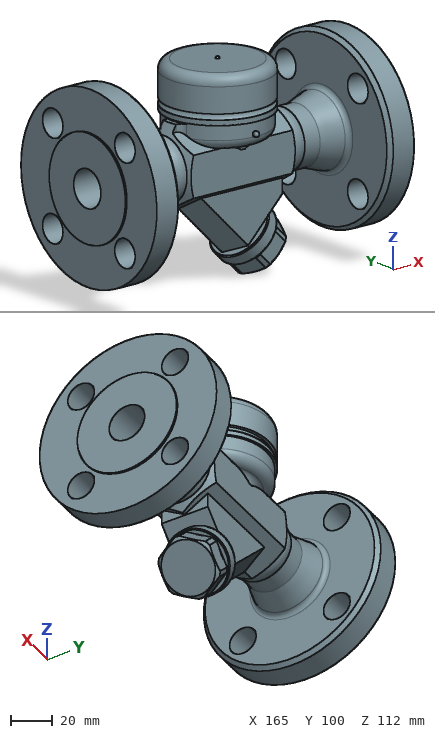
import cadquery as cq
import math

overall_length = 165.0

flange_diameter = 100.0
flange_back_x = 66.0
flange_edge_chamfer = 2.2
raised_face_diameter = 56.0
raised_face_height = 1.0
bore_diameter = 20.0
bore_depth = 20.0
bolt_hole_diameter = 15.0
bolt_circle_diameter = 75.0
bolt_count = 4

pipe_diameter = 32.0
pipe_inner_x = 41.5
pipe_outer_x = 51.0
hub_diameter = 40.0
hub_fillet = 2.6
collar_diameter = 34.0
collar_crown_diameter = 34.5

hex_across_flats = 37.5
hex_end_x = 34.0
hex_end_angle = 30.0

cup_diameter = 55.2
cup_bottom_z = 10.7
cup_fillet = 5.4
cup_root_radius = 18.8
cup_root_fillet = 3.2
rim_diameter = 57.5
rim_bottom_z = 23.8
rim_top_z = 26.6
neck_base_diameter = 57.0
neck_top_diameter = 54.4
pin_diameter = 3.0
pin_z = 17.4
pin_tip_y = -30.0
lug_width = 9.4
lug_top_z = 22.8
lug_fillet = 4.0

cap_diameter = 57.5
cap_bottom_z = 29.7
cap_top_z = 49.0
cap_fillet = 5.5
nib_radius = flange_diameter / 2 - cap_top_z

arm_angle = 45.0
arm_axis_offset = 17.7
arm_across_flats = 26.2
arm_start = -6.0
arm_end = 36.7
arm_side_x = 29.8
plug_collar_diameter = 34.0
plug_collar_end = 44.4
plug_collar_chamfer = 0.6
plug_groove_diameter = 28.0
plug_hex_start = 45.2
plug_hex_across_flats = 29.0
plug_hex_diameter = 32.0
plug_tip_diameter = 28.0
lowest_z = -62.04

half_length = overall_length / 2
flange_front_x = half_length - raised_face_height
cos30 = math.cos(math.radians(30))
hex_corner_radius = hex_across_flats / 2 / cos30
fillet_inset = 1 - math.sqrt(0.5)
trim_slope = math.tan(math.radians(hex_end_angle))
arm_corner_radius = arm_across_flats / 2 / cos30
plug_chamfer_start = -lowest_z * math.sqrt(2) - arm_axis_offset - plug_hex_diameter / 2
plug_end = plug_chamfer_start + (plug_hex_diameter - plug_tip_diameter) / 2 * trim_slope

arm_sin = math.sin(math.radians(arm_angle))
arm_cos = math.cos(math.radians(arm_angle))
arm_plane = cq.Plane(
    origin=(-arm_axis_offset * arm_sin, 0, -arm_axis_offset * arm_cos),
    xDir=(arm_sin, 0, arm_cos),
    normal=(arm_cos, 0, -arm_sin),
)


def make_pipe_end():
    """Flange, hub, pipe and collar on the +X side, with a blind bore and bolt holes."""
    flange_radius = flange_diameter / 2
    hub_radius = hub_diameter / 2
    profile = (
        cq.Workplane("XY")
        .moveTo(0, 0)
        .lineTo(0, collar_diameter / 2)
        .lineTo(hex_end_x, collar_diameter / 2)
        .threePointArc(
            ((hex_end_x + pipe_inner_x) / 2, collar_crown_diameter / 2),
            (pipe_inner_x, pipe_diameter / 2),
        )
        .lineTo(pipe_outer_x, pipe_diameter / 2)
        .lineTo(flange_back_x - hub_fillet, hub_radius)
        .threePointArc(
            (flange_back_x - fillet_inset * hub_fillet, hub_radius + fillet_inset * hub_fillet),
            (flange_back_x, hub_radius + hub_fillet),
        )
        .lineTo(flange_back_x, flange_radius - flange_edge_chamfer)
        .lineTo(flange_back_x + flange_edge_chamfer, flange_radius)
        .lineTo(flange_front_x, flange_radius)
        .lineTo(flange_front_x, raised_face_diameter / 2)
        .lineTo(half_length, raised_face_diameter / 2)
        .lineTo(half_length, 0)
        .close()
    )
    pipe_end = profile.revolve(360, (0, 0, 0), (1, 0, 0))
    bore = cq.Workplane("YZ", origin=(half_length, 0, 0)).circle(bore_diameter / 2).extrude(-bore_depth)
    bolt_holes = (
        cq.Workplane("YZ", origin=(flange_back_x, 0, 0))
        .polarArray(bolt_circle_diameter / 2, 180 / bolt_count, 360, bolt_count)
        .circle(bolt_hole_diameter / 2)
        .extrude(half_length - flange_back_x)
    )
    return pipe_end.cut(bore).cut(bolt_holes)


def make_lug():
    """Locking lug standing up from the pipe axis, its sides rounded out into the cup wall."""
    half_width = lug_width / 2
    cup_radius = cup_diameter / 2
    fillet_y = half_width + lug_fillet
    fillet_x = -math.sqrt((cup_radius + lug_fillet) ** 2 - fillet_y ** 2)
    touch_ratio = cup_radius / (cup_radius + lug_fillet)
    touch_x = fillet_x * touch_ratio
    touch_y = fillet_y * touch_ratio
    return (
        cq.Workplane("XY")
        .moveTo(-hex_end_x, half_width)
        .lineTo(fillet_x, half_width)
        .tangentArcPoint((touch_x, touch_y), relative=False)
        .lineTo(0, 0)
        .lineTo(touch_x, -touch_y)
        .radiusArc((fillet_x, -half_width), -lug_fillet)
        .lineTo(-hex_end_x, -half_width)
        .close()
        .extrude(lug_top_z)
    )


def make_hex_section():
    """Hexagon along X with a locking lug on its -X end, both trimmed by end cones."""
    hexagon = (
        cq.Workplane("YZ", origin=(-hex_end_x, 0, 0))
        .polygon(6, 2 * hex_corner_radius)
        .extrude(2 * hex_end_x)
        .rotate((0, 0, 0), (1, 0, 0), 90)
    )
    lug = make_lug()
    trim_radius = math.hypot(lug_top_z, hex_corner_radius)
    trim_inset = (trim_radius - collar_diameter / 2) * trim_slope
    trim = (
        cq.Workplane("XY")
        .polyline([
            (-hex_end_x, 0),
            (-hex_end_x, collar_diameter / 2),
            (-hex_end_x + trim_inset, trim_radius),
            (hex_end_x - trim_inset, trim_radius),
            (hex_end_x, collar_diameter / 2),
            (hex_end_x, 0),
        ])
        .close()
        .revolve(360, (0, 0, 0), (1, 0, 0))
    )
    return hexagon.union(lug).intersect(trim)


def make_cup():
    """Round cup on a short flared root, with a rim, a filleted neck and a locating pin."""
    cup_radius = cup_diameter / 2
    neck_radius = neck_top_diameter / 2
    neck_height = cap_bottom_z - rim_top_z
    neck_flare = (neck_base_diameter - neck_top_diameter) / 2
    neck_arc_radius = (neck_height ** 2 + neck_flare ** 2) / (2 * neck_flare)
    corner = fillet_inset * cup_fillet
    root_corner = fillet_inset * cup_root_fillet
    root_bottom_z = cup_bottom_z - cup_root_fillet
    profile = (
        cq.Workplane("XZ")
        .moveTo(0, root_bottom_z)
        .lineTo(cup_root_radius, root_bottom_z)
        .threePointArc(
            (cup_root_radius + root_corner, cup_bottom_z - root_corner),
            (cup_root_radius + cup_root_fillet, cup_bottom_z),
        )
        .lineTo(cup_radius - cup_fillet, cup_bottom_z)
        .threePointArc(
            (cup_radius - corner, cup_bottom_z + corner),
            (cup_radius, cup_bottom_z + cup_fillet),
        )
        .lineTo(cup_radius, rim_bottom_z)
        .lineTo(rim_diameter / 2, rim_bottom_z)
        .lineTo(rim_diameter / 2, rim_top_z)
        .lineTo(neck_base_diameter / 2, rim_top_z)
        .radiusArc((neck_radius, cap_bottom_z), neck_arc_radius)
        .lineTo(0, cap_bottom_z)
        .close()
    )
    cup = profile.revolve(360, (0, 0, 0), (0, 1, 0))
    pin_radius = pin_diameter / 2
    pin = cq.Workplane("XZ", origin=(0, 0, pin_z)).circle(pin_radius).extrude(-pin_tip_y - pin_radius)
    pin_tip = cq.Workplane("XY").sphere(pin_radius).translate((0, pin_tip_y + pin_radius, pin_z))
    return cup.union(pin).union(pin_tip)


def make_arm():
    """Strainer arm: half-hexagon underside, flat sides, cut off square to X on its upper side."""
    half_width = arm_across_flats / 2
    upper_reach = arm_axis_offset + arm_side_x
    arm = (
        cq.Workplane(arm_plane)
        .workplane(offset=arm_start)
        .polyline([
            (-arm_corner_radius, 0),
            (-arm_corner_radius / 2, -half_width),
            (upper_reach, -half_width),
            (upper_reach, half_width),
            (-arm_corner_radius / 2, half_width),
        ])
        .close()
        .extrude(arm_end - arm_start)
    )
    keep_size = 2 * overall_length
    keep = cq.Workplane("XY").box(keep_size, keep_size, keep_size)
    keep = keep.translate((arm_side_x - keep_size / 2, 0, -keep_size / 2))
    return arm.intersect(keep)


def make_plug():
    """Screwed plug on the arm's end: round collar, groove and hexagon with trimmed corners."""
    collar = (
        cq.Workplane(arm_plane)
        .workplane(offset=arm_end)
        .circle(plug_collar_diameter / 2)
        .extrude(plug_collar_end - arm_end)
        .edges()
        .chamfer(plug_collar_chamfer)
    )
    groove = (
        cq.Workplane(arm_plane)
        .workplane(offset=arm_end)
        .circle(plug_groove_diameter / 2)
        .extrude(plug_hex_start - arm_end)
    )
    head_length = plug_end - plug_hex_start
    head = (
        cq.Workplane(arm_plane)
        .workplane(offset=plug_hex_start)
        .polygon(6, plug_hex_across_flats / cos30)
        .extrude(head_length)
    )
    turned = (
        cq.Workplane(arm_plane)
        .workplane(offset=plug_hex_start)
        .circle(plug_hex_diameter / 2)
        .extrude(head_length)
        .faces(cq.selectors.DirectionMinMaxSelector(arm_plane.zDir, True))
        .chamfer(plug_end - plug_chamfer_start, (plug_hex_diameter - plug_tip_diameter) / 2)
    )
    return collar.union(groove).union(head.intersect(turned))


def make_body():
    """Valve body: hexagon, two flanged pipe ends, cup, arm and plug fused together."""
    pipe_end = make_pipe_end()
    body = make_hex_section().union(make_cup()).union(make_arm()).union(make_plug())
    return body.union(pipe_end).union(pipe_end.mirror("YZ"))


def make_cap():
    """Round cap seated on the neck, with a small nib on its top."""
    cap = (
        cq.Workplane("XY", origin=(0, 0, cap_bottom_z))
        .circle(cap_diameter / 2)
        .extrude(cap_top_z - cap_bottom_z)
        .faces(">Z")
        .edges()
        .fillet(cap_fillet)
    )
    nib = cq.Workplane("XY").sphere(nib_radius).translate((0, 0, cap_top_z))
    return cap.union(nib)


body = make_body()
cap = make_cap()

result = cq.Compound.makeCompound([body.val(), cap.val()])